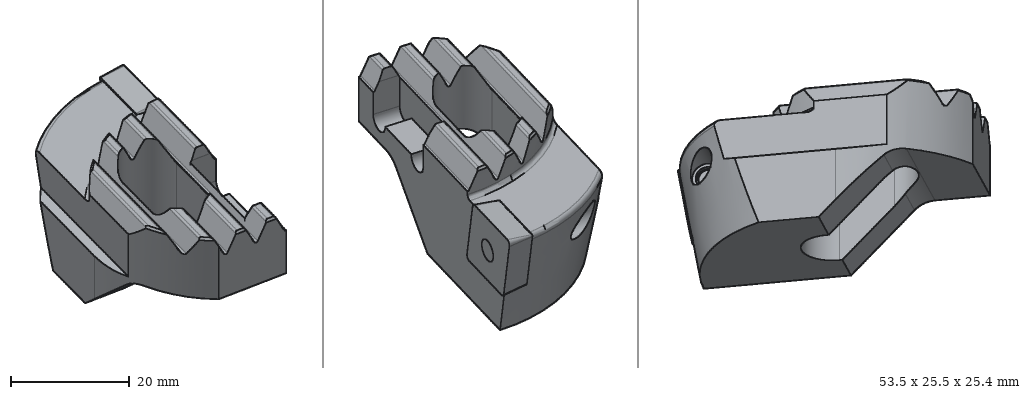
import cadquery as cq
import math


head_radius = 25.0
body_height = 25.4
right_end = 21.1
overall_length = 53.5
mount_underside = 12.4
foot_end = -2.9
slope_fillet = 5.0
clearance_angle = 10.0
foot_cone_radius = 28.3

front_step_depth = 1.5
front_step_bottom = 12.2
front_step_top = 12.95

shelf_height = 20.15
shelf_wall_center = 11.0
shelf_wall_radius = 27.9
shelf_fillet = 0.8

pitch = 6.0
gap_count = 5
tip_half_width = 0.85
flank_angle = math.atan(0.5)
tip_fillet = 0.5
valley_fillet = 0.36
block_chamfer = 0.4

slot_length = 20.1
slot_width = 10.6
slot_center = (1.3, -2 * pitch)

key_width = 17.5
key_center = 7.3
key_depth = 5.1
key_floor = 17.0
key_relief_radius = 2.1
key_flare = 0.4
key_flare_height = 2.0

inscribed_diameter = 12.7
insert_thickness = 4.76
insert_back = 0.46
insert_angle = 80.0
insert_draft = 7.0
insert_corner = 0.8
insert_tip = right_end - overall_length
insert_center_z = 14.6

screw_x = -24.75
screw_z = 14.4
screw_diameter = 4.0
screw_end = -12.8
screw_chamfer = 0.4
access_diameter = 5.2
access_end = -13.2

half_angle = math.radians(insert_angle / 2)
tip_reach = (inscribed_diameter / 2 - insert_corner) / math.tan(half_angle) + insert_corner
insert_center_x = insert_tip + tip_reach

selection_margin = 0.1
overrun = 5.0


def cylinder_along_y(x, z, diameter, y_from, y_to):
    """Cylinder parallel to Y, from y_from towards -Y to y_to."""
    return (
        cq.Workplane("XZ", origin=(x, y_from, z))
        .circle(diameter / 2)
        .extrude(y_from - y_to)
    )


def body_blank():
    """Side profile, cut to the head radius on the right and to the cone on the left."""
    top_cone_radius = foot_cone_radius + body_height * math.tan(math.radians(clearance_angle))
    left = -top_cone_radius
    slope_end = foot_end + mount_underside
    profile = (
        cq.Workplane("XZ")
        .moveTo(left, 0)
        .lineTo(foot_end, 0)
        .lineTo(slope_end, mount_underside)
        .lineTo(right_end, mount_underside)
        .lineTo(right_end, body_height)
        .lineTo(left, body_height)
        .close()
        .extrude(head_radius)
        .edges(cq.selectors.NearestToPointSelector((slope_end, -head_radius / 2, mount_underside)))
        .fillet(slope_fillet)
    )
    plan = (
        cq.Workplane("XY")
        .moveTo(left, 0)
        .lineTo(left, -head_radius)
        .lineTo(0, -head_radius)
        .radiusArc((head_radius, 0), -head_radius)
        .close()
        .extrude(body_height)
    )
    cone = cq.Workplane(cq.Solid.makeCone(foot_cone_radius, top_cone_radius, body_height))
    return profile.intersect(plan).intersect(cone)


def front_step():
    """Waste above the sloping step on the front face."""
    step_y = front_step_depth - head_radius
    return (
        cq.Workplane("YZ", origin=(-2 * head_radius, 0, 0))
        .moveTo(-head_radius, front_step_bottom)
        .lineTo(step_y, front_step_top)
        .lineTo(step_y, body_height + overrun)
        .lineTo(-head_radius - overrun, body_height + overrun)
        .lineTo(-head_radius - overrun, front_step_bottom)
        .close()
        .extrude(4 * head_radius)
    )


def shelf_waste():
    """Everything above the shelf and outside the curved end wall of the serrated block."""
    reach = 2 * head_radius
    left_side = (
        cq.Workplane("XY", origin=(0, 0, shelf_height))
        .rect(2 * reach, 2 * reach)
        .extrude(overrun + body_height)
        .translate((shelf_wall_center - reach, 0, 0))
    )
    kept = (
        cq.Workplane("XY", origin=(shelf_wall_center, 0, shelf_height))
        .circle(shelf_wall_radius)
        .extrude(overrun + body_height)
    )
    return left_side.cut(kept)


def key_pocket():
    """Pocket open to the back and top, flared at its mouth, with half-round grooves along its floor."""
    half_width = key_width / 2
    flare_start = body_height - key_flare_height
    pocket = (
        cq.Workplane("XZ", origin=(key_center, 0, 0))
        .moveTo(-half_width, key_floor)
        .lineTo(half_width, key_floor)
        .lineTo(half_width, flare_start)
        .lineTo(half_width + key_flare, body_height)
        .lineTo(-half_width - key_flare, body_height)
        .lineTo(-half_width, flare_start)
        .close()
        .extrude(key_depth)
    )
    groove_offset = half_width - key_relief_radius
    for side in (-1, 1):
        groove = cylinder_along_y(
            key_center + side * groove_offset, key_floor, 2 * key_relief_radius, 0, -key_depth
        )
        pocket = pocket.union(groove)
    return pocket


def serration_gap(valley_y):
    """V-shaped gap with a round bottom and rounded upper edges, running along X."""
    half_gap = pitch / 2 - tip_half_width
    valley_z = body_height - half_gap / math.tan(flank_angle)
    flare = pitch / 2
    gap = (
        cq.Workplane("YZ", origin=(-head_radius, valley_y, 0))
        .moveTo(0, valley_z)
        .lineTo(half_gap, body_height)
        .lineTo(flare, body_height)
        .lineTo(flare, body_height + overrun)
        .lineTo(-flare, body_height + overrun)
        .lineTo(-flare, body_height)
        .lineTo(-half_gap, body_height)
        .close()
        .extrude(2 * head_radius)
    )
    valley = cq.selectors.NearestToPointSelector((0, valley_y, valley_z))
    gap = gap.edges(valley).fillet(valley_fillet)
    for side in (-1, 1):
        tip_edge = cq.selectors.NearestToPointSelector((0, valley_y + side * half_gap, body_height))
        gap = gap.edges(tip_edge).fillet(tip_fillet)
    return gap


def clamping_slot():
    return (
        cq.Workplane("XY", origin=(*slot_center, 0))
        .slot2D(slot_length, slot_width)
        .extrude(body_height)
    )


def make_insert_blank():
    """Rhombic insert with 80 degree corners, rounded corners and drafted sides, without its hole."""
    half_height = inscribed_diameter / 2
    lean = half_height * math.tan(math.radians(90 - insert_angle))
    half_side = half_height / math.sin(math.radians(insert_angle))
    outline = (
        cq.Sketch()
        .polygon([
            (-half_side - lean, half_height),
            (half_side - lean, half_height),
            (half_side + lean, -half_height),
            (-half_side + lean, -half_height),
            (-half_side - lean, half_height),
        ])
        .vertices()
        .fillet(insert_corner)
    )
    return (
        cq.Workplane("XZ", origin=(insert_center_x, insert_back, insert_center_z))
        .placeSketch(outline)
        .extrude(insert_thickness, taper=insert_draft)
    )


def make_screw():
    shank = cylinder_along_y(screw_x, screw_z, screw_diameter, insert_back, screw_end)
    return shank.faces("<Y").chamfer(screw_chamfer)


def make_body(insert_blank):
    body = body_blank().cut(front_step()).cut(shelf_waste())
    shelf_edges = body.faces(cq.selectors.BoxSelector(
        (-2 * head_radius, -head_radius, shelf_height - selection_margin),
        (0, 0, shelf_height + selection_margin),
    )).edges("%CIRCLE")
    body = shelf_edges.fillet(shelf_fillet)
    body = body.faces(">Z").chamfer(block_chamfer).cut(key_pocket())
    for index in range(gap_count):
        body = body.cut(serration_gap(-index * pitch))
    body = body.cut(clamping_slot())
    body = body.cut(insert_blank)
    body = body.cut(cylinder_along_y(screw_x, screw_z, screw_diameter, 0, access_end))
    return body.cut(
        cylinder_along_y(screw_x, screw_z, access_diameter, access_end, -head_radius)
    )


insert_blank = make_insert_blank()
screw = make_screw()
insert = insert_blank.cut(screw)
body = make_body(insert_blank)
result = cq.Compound.makeCompound([body.val(), insert.val(), screw.val()])